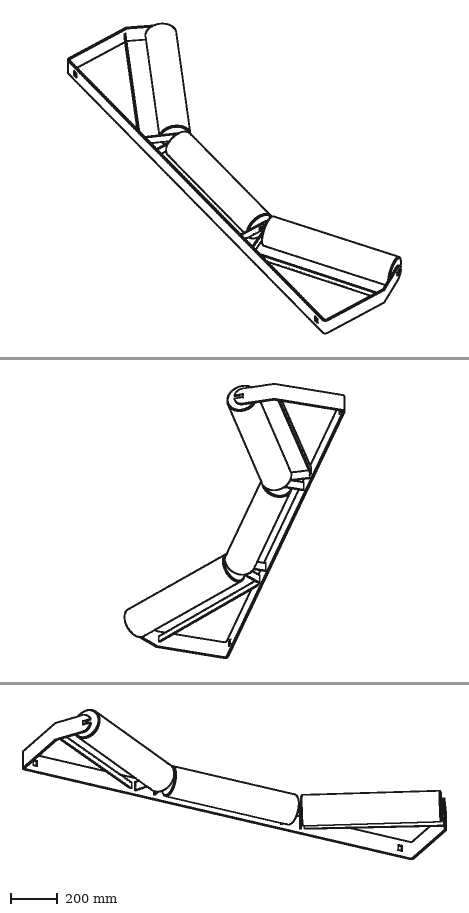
import cadquery as cq
import math

overall_length = 1890.0
strip_width = 80.0
strip_thickness = 8.0
side_height = 318.0
arm_length = 178.0
fold_radius = 15.0
arm_tip_radius = 38.0
mounting_hole_width = 19.0
mounting_hole_height = 25.0
mounting_hole_inset = 62.0

roller_diameter = 135.0
roller_length = 601.0
roller_chamfer = 4.7
shaft_diameter = 17.0
shaft_to_arm_tip = 30.0
arm_clearance = 6.6
trough_angle = 30.0
centre_axis_y = 125.0
outer_axis_z = 2.0
inner_axis_z = -4.0

bracket_thickness = 5.0
bracket_width = strip_width / 2
bracket_height = 155.0
bracket_upright_x = 305.0
bracket_top_width = 23.0
bracket_foot_x = 403.0
bracket_fold_radius = 5.0

brace_thickness = 5.0
brace_width = 28.0
brace_top_y = 308.0

half_length = overall_length / 2
trough = math.radians(trough_angle)
arm_direction = cq.Vector(math.sin(trough), math.cos(trough))
downhill = cq.Vector(math.cos(trough), -math.sin(trough))
arm_bend = cq.Vector(-half_length, side_height)
arm_tip = arm_bend + arm_direction * arm_length
arm_shaft_seat = arm_tip - arm_direction * shaft_to_arm_tip + cq.Vector(0, 0, outer_axis_z)

lean = (inner_axis_z - outer_axis_z) / roller_length
side_axis = (downhill + cq.Vector(0, 0, lean)).normalized()
outer_stub = strip_thickness + arm_clearance
side_roller_face = arm_shaft_seat + side_axis * outer_stub
side_roller_inner_face = side_roller_face + side_axis * roller_length

centre_axis = cq.Vector(1, 0, 0)
centre_roller_face = cq.Vector(-roller_length / 2, centre_axis_y, inner_axis_z)

inner_stub = bracket_upright_x - roller_length / 2 + bracket_thickness


def mirrored(body):
    """The same body on the +X side."""
    return body.mirror("YZ")


def extruded_outline(points, width):
    """Closed XY outline extruded along Z, centred on Z = 0."""
    return cq.Workplane("XY").polyline(points).close().extrude(width / 2, both=True)


def fillet_fold(body, point, radius):
    """Round the Z-parallel edge that passes through the XY point."""
    return body.edges(cq.selectors.NearestToPointSelector((point[0], point[1], 0))).fillet(radius)


def shaft_slot(seat, axis, opening):
    """Cutter for a shaft slot with a square floor, open in the given direction."""
    depth = 2 * shaft_to_arm_tip
    plane = cq.Plane(seat, xDir=opening, normal=axis)
    slot = cq.Workplane(plane).center((depth - shaft_diameter) / 2, 0).rect(depth, shaft_diameter)
    return slot.extrude(2 * strip_thickness, both=True)


def arm_tip_rounding():
    """Cutter that rounds both corners of the -X arm's tip."""
    plane = cq.Plane(arm_tip, xDir=arm_direction, normal=downhill)
    block = cq.Workplane(plane).rect(2 * arm_tip_radius, strip_width)
    block = block.extrude(2 * strip_thickness, both=True)
    rounded = cq.Workplane(plane).center(-arm_length / 2, 0).rect(arm_length, strip_width)
    rounded = rounded.extrude(2 * strip_thickness, both=True)
    rounded = rounded.edges(cq.selectors.ParallelDirSelector(downhill))
    rounded = rounded.edges(cq.selectors.DirectionMinMaxSelector(arm_direction, True))
    return block.cut(rounded.fillet(arm_tip_radius))


def make_frame():
    """Base, side walls and arms as one folded strip with shaft slots and mounting holes."""
    inner_wall_x = -half_length + strip_thickness
    inner_bend_y = side_height - strip_thickness * math.tan(trough / 2)
    inner_tip = arm_tip + downhill * strip_thickness
    outer_points = [(-half_length, 0), (arm_bend.x, arm_bend.y), (arm_tip.x, arm_tip.y)]
    inner_points = [(inner_tip.x, inner_tip.y), (inner_wall_x, inner_bend_y), (inner_wall_x, strip_thickness)]
    left = outer_points + inner_points
    right = [(-x, y) for x, y in reversed(left)]
    frame = extruded_outline(left + right, strip_width)

    outer_folds = outer_points[:2]
    inner_folds = inner_points[1:]
    for side in (1, -1):
        for x, y in outer_folds:
            frame = fillet_fold(frame, (side * x, y), fold_radius)
        for x, y in inner_folds:
            frame = fillet_fold(frame, (side * x, y), fold_radius - strip_thickness)

    for cutter in (arm_tip_rounding(), shaft_slot(arm_shaft_seat, side_axis, arm_direction)):
        frame = frame.cut(cutter).cut(mirrored(cutter))

    hole_x = half_length - mounting_hole_inset
    holes = cq.Workplane("XZ").pushPoints([(-hole_x, 0), (hole_x, 0)])
    holes = holes.rect(mounting_hole_width, mounting_hole_height).extrude(-2 * strip_thickness)
    return frame.cut(holes)


def make_roller(face, axis, first_stub):
    """Drum starting at face and running along axis, with a shaft end standing out of each side."""
    drum = cq.Workplane(cq.Plane(face, normal=axis)).circle(roller_diameter / 2).extrude(roller_length)
    drum = drum.edges().chamfer(roller_chamfer)
    shaft = cq.Workplane(cq.Plane(face - axis * first_stub, normal=axis)).circle(shaft_diameter / 2)
    return drum.union(shaft.extrude(first_stub + roller_length + inner_stub))


def make_bracket():
    """Upright leg, short top and sloping leg, slotted for the two shaft ends it carries."""
    base_y = strip_thickness
    inside_top_y = bracket_height - bracket_thickness
    upright_x = -bracket_upright_x
    top_end_x = upright_x - bracket_top_width
    leg_slope = (bracket_foot_x + top_end_x) / (bracket_height - base_y)
    leg_span = bracket_thickness * math.hypot(1, leg_slope)
    outer_top = [(upright_x, bracket_height), (top_end_x, bracket_height)]
    bracket = extruded_outline(
        [
            (upright_x, base_y),
            *outer_top,
            (-bracket_foot_x, base_y),
            (-bracket_foot_x + leg_span, base_y),
            (top_end_x + leg_span - bracket_thickness * leg_slope, inside_top_y),
            (upright_x - bracket_thickness, inside_top_y),
            (upright_x - bracket_thickness, base_y),
        ],
        bracket_width,
    )
    for point in outer_top:
        bracket = fillet_fold(bracket, point, bracket_fold_radius)
    bracket = bracket.cut(shaft_slot(centre_roller_face, centre_axis, cq.Vector(0, 1, 0)))
    return bracket.cut(shaft_slot(side_roller_inner_face, side_axis, arm_direction))


def make_brace():
    """Slanted bar with its ends cut flush to the side wall and the base."""
    wall_x = -half_length + strip_thickness
    base_y = strip_thickness
    wall_cut = brace_thickness / math.cos(trough)
    base_cut = brace_thickness / math.sin(trough)
    foot_x = wall_x + (brace_top_y - base_y) / math.tan(trough)
    return extruded_outline(
        [
            (wall_x, brace_top_y),
            (foot_x, base_y),
            (foot_x - base_cut, base_y),
            (wall_x, brace_top_y - wall_cut),
        ],
        brace_width,
    )


frame = make_frame()
centre_roller = make_roller(centre_roller_face, centre_axis, inner_stub)
bodies = [frame.solids().val(), centre_roller.solids().val()]

side_roller = make_roller(side_roller_face, side_axis, outer_stub)
for body in (side_roller, make_bracket(), make_brace()):
    bodies.append(body.solids().val())
    bodies.append(mirrored(body).solids().val())

result = cq.Compound.makeCompound(bodies)